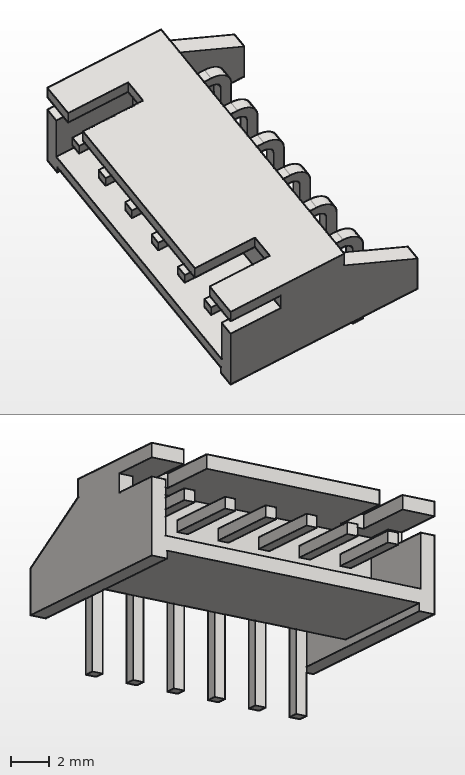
import cadquery as cq
import math


width = 17.4
total_depth = 11.5
body_depth = 7.0
height = 6.15
foot_height = 0.44
foot_width = 0.94
arm_step = 1.0
arm_slope_angle = 30.0

roof_thickness = 0.8
floor_thickness = 0.8
side_wall = 0.85
cavity_depth = 4.7

side_notch_depth = 3.1
side_notch_height = 1.05
roof_slot_width = 1.41
roof_slot_depth = 3.69
roof_slot_offset = 6.02

pin_count = 6
pin_pitch = 2.5
pin_size = 0.65
pin_tip_inset = 0.17
pin_drop = 3.41
pin_axis_height = 3.78
pin_bend_inner = 0.6
pin_back_inset = 1.98

floor_top = foot_height + floor_thickness
roof_underside = height - roof_thickness
arm_length = total_depth - body_depth
arm_front_height = height - arm_step
arm_back_height = arm_front_height - arm_length * math.tan(math.radians(arm_slope_angle))
pin_back = total_depth - pin_back_inset


def box(size_x, size_y, size_z, center_x, front_y, bottom_z):
    """Box centred on center_x that grows backward from front_y and upward from bottom_z."""
    block = cq.Workplane("XY").box(size_x, size_y, size_z, centered=(True, False, False))
    return block.translate((center_x, front_y, bottom_z))


def make_housing():
    """Side profile swept across the width, leaving only two thin arms behind the body."""
    profile = [
        (0, 0),
        (total_depth, 0),
        (total_depth, arm_back_height),
        (body_depth, arm_front_height),
        (body_depth, height),
        (0, height),
    ]
    housing = cq.Workplane("YZ").polyline(profile).close().extrude(width / 2, both=True)
    inner_width = width - 2 * foot_width
    housing = housing.cut(box(inner_width, arm_length, height, 0, body_depth, 0))
    return housing.cut(box(inner_width, body_depth, foot_height, 0, 0, 0))


def cut_openings(housing):
    """Mating cavity, the notch through both side walls and the two roof slots."""
    cavity_height = roof_underside - floor_top
    housing = housing.cut(box(width - 2 * side_wall, cavity_depth, cavity_height, 0, 0, floor_top))
    notch_bottom = roof_underside - side_notch_height
    housing = housing.cut(box(width, side_notch_depth, side_notch_height, 0, 0, notch_bottom))
    for side in (-1, 1):
        slot_x = side * roof_slot_offset
        housing = housing.cut(
            box(roof_slot_width, roof_slot_depth, roof_thickness, slot_x, 0, roof_underside)
        )
    return housing


def make_pin(center_x):
    """Square pin that runs back through the cavity wall and bends down behind the body."""
    top = pin_axis_height + pin_size / 2
    underside = top - pin_size
    bend_outer = pin_bend_inner + pin_size
    bend_y = pin_back - bend_outer
    bend_z = top - bend_outer
    diagonal = math.cos(math.radians(45))
    outline = (
        cq.Workplane("YZ")
        .moveTo(pin_tip_inset, underside)
        .lineTo(pin_tip_inset, top)
        .lineTo(bend_y, top)
        .threePointArc(
            (bend_y + bend_outer * diagonal, bend_z + bend_outer * diagonal), (pin_back, bend_z)
        )
        .lineTo(pin_back, -pin_drop)
        .lineTo(pin_back - pin_size, -pin_drop)
        .lineTo(pin_back - pin_size, bend_z)
        .threePointArc(
            (bend_y + pin_bend_inner * diagonal, bend_z + pin_bend_inner * diagonal),
            (bend_y, underside),
        )
        .close()
    )
    return outline.extrude(pin_size / 2, both=True).translate((center_x, 0, 0))


result = cut_openings(make_housing())
for index in range(pin_count):
    result = result.union(make_pin((index - (pin_count - 1) / 2) * pin_pitch))